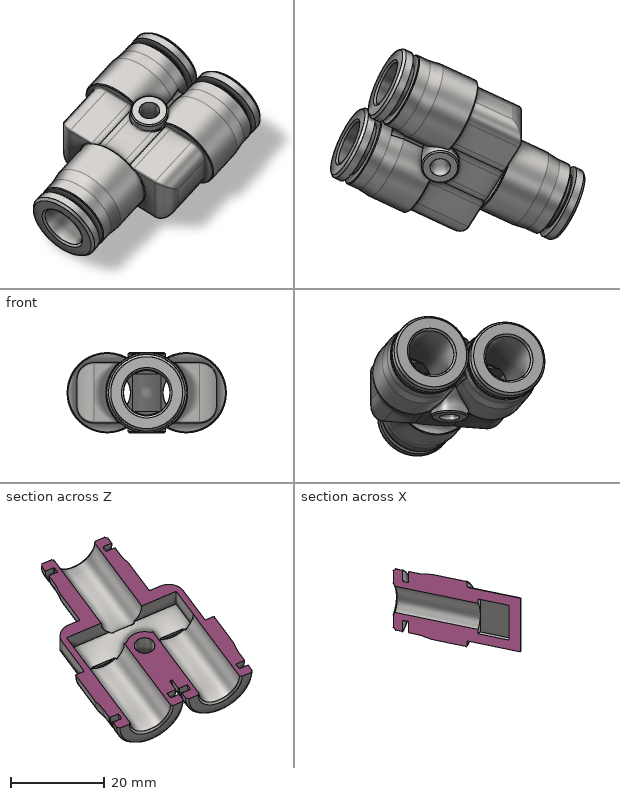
import cadquery as cq
import math


port_pitch = 16.95
port_length = 18.0
overall_length = 49.2
barrel_radius = 8.6
sleeve_radius = 8.2
neck_radius = 6.05
collar_chamfer_depth = 0.6
collar_chamfer_width = 0.5
collar_end = 2.3
sleeve_start = 3.7
taper_start = 6.5
taper_end = 9.4
edge_break = 0.2

flare_root = 0.5

bore_radius = 4.95
bore_floor_radius = 4.75
bore_mouth_chamfer = 0.45
bore_floor_chamfer = bore_radius - bore_floor_radius

body_length = overall_length - 2 * port_length
bar_width = 12.95
bar_radius = 3.6

boss_radius = 4.05
boss_height = 2 * barrel_radius
boss_chamfer = 0.3
hole_radius = 2.15

cavity_height = 7.95
cavity_back = -2.65
cavity_front = -10.1
bore_overlap = 0.5
twin_bore_floor = cavity_back - bore_overlap
front_bore_floor = cavity_front + bore_overlap

web_width = 1.95
web_valley_height = 3.1

port_offset = port_pitch / 2


def revolve_port_profile(points):
    """Solid of revolution about Y from (radius, y) points."""
    return cq.Workplane("XY").polyline(points).close().revolve(360, (0, 0, 0), (0, 1, 0))


def place_twin(shape):
    """Two copies of a shape, on the axes of the twin ports."""
    return shape.translate((-port_offset, 0, 0)).union(shape.translate((port_offset, 0, 0)))


def place_single(shape):
    """A shape turned round to the -Y end of the body."""
    return shape.rotate((0, 0, 0), (0, 0, 1), 180).translate((0, -body_length, 0))


def make_port():
    """Outside of one port, from its body face at Y = 0 to its mouth."""
    mouth = port_length
    return revolve_port_profile([
        (0, 0),
        (barrel_radius - edge_break, 0),
        (barrel_radius, edge_break),
        (barrel_radius, mouth - taper_end),
        (sleeve_radius, mouth - taper_start),
        (sleeve_radius, mouth - sleeve_start - edge_break),
        (sleeve_radius - edge_break, mouth - sleeve_start),
        (neck_radius, mouth - sleeve_start),
        (neck_radius, mouth - collar_end - edge_break),
        (neck_radius + edge_break, mouth - collar_end),
        (sleeve_radius, mouth - collar_end),
        (sleeve_radius, mouth - collar_chamfer_depth),
        (sleeve_radius - collar_chamfer_width, mouth),
        (0, mouth),
    ])


def make_bore(floor):
    """Tube bore of a port whose mouth is at Y = port_length, down to Y = floor."""
    return revolve_port_profile([
        (0, floor),
        (bore_floor_radius, floor),
        (bore_radius, floor + bore_floor_chamfer),
        (bore_radius, port_length - bore_mouth_chamfer),
        (bore_radius + bore_mouth_chamfer, port_length),
        (0, port_length),
    ])


def make_bar():
    """Rounded square bar along the body."""
    return (
        cq.Workplane("XZ")
        .rect(bar_width, bar_width)
        .extrude(body_length)
        .edges("|Y")
        .fillet(bar_radius)
    )


def make_arm(side):
    """One twin port and its bar, whose outer front corner is rounded; side is -1 or 1."""
    plan = (
        cq.Workplane("XY")
        .rect(bar_width, 2 * body_length)
        .extrude(bar_width / 2, both=True)
        .edges("|Z and <Y and " + (">X" if side > 0 else "<X"))
        .fillet(bar_radius)
    )
    bar = make_bar().intersect(plan)
    bar = bar.faces("<Y").edges("|X").fillet(edge_break)
    arm = make_port().union(bar)
    arm = arm.edges("|X").edges(">Y").fillet(edge_break)
    return arm.translate((side * port_offset, 0, 0))


def make_flare(radius):
    """Disc about Y with a concave fillet of edge_break rising from Y = 0 to the given radius."""
    flare_radius = radius + edge_break
    return (
        cq.Workplane("XY")
        .moveTo(0, -flare_root)
        .lineTo(flare_radius, -flare_root)
        .lineTo(flare_radius, 0)
        .radiusArc((radius, edge_break), edge_break)
        .lineTo(0, edge_break)
        .close()
        .revolve(360, (0, 0, 0), (0, 1, 0))
    )


def make_front_flare():
    """Fillet where the single barrel meets the flat front of the body."""
    flat_height = bar_width - 2 * edge_break
    flat = cq.Workplane("XY").box(4 * barrel_radius, 2 * flare_root, flat_height)
    return make_flare(barrel_radius).intersect(flat)


def make_boss_flare():
    """Fillet where the top of the boss meets the flat top of the body, in front of the barrels."""
    flare = make_flare(boss_radius).rotate((0, 0, 0), (1, 0, 0), 90)
    front_half = cq.Workplane("XY").box(bar_width, bar_width, bar_width)
    front_half = front_half.translate((0, -bar_width / 2, 0))
    return flare.intersect(front_half).translate((0, 0, bar_width / 2))


def make_web():
    """Web joining the twin barrels, with a rounded valley above and below."""
    length = port_length - taper_start
    web = cq.Workplane("XZ").rect(web_width, 2 * web_valley_height).extrude(-length)
    axis_distance = math.hypot(port_offset, web_valley_height)
    valley_radius = axis_distance - barrel_radius
    valley_end_radius = axis_distance - sleeve_radius
    barrel_end = port_length - taper_end
    valley = revolve_port_profile([
        (0, 0),
        (valley_radius, 0),
        (valley_radius, barrel_end),
        (valley_end_radius, length),
        (0, length),
    ])
    for z in (-web_valley_height, web_valley_height):
        web = web.cut(valley.translate((0, 0, z)))
    return web


def make_boss():
    """Screw boss through the body, chamfered at both ends."""
    return (
        cq.Workplane("XY")
        .circle(boss_radius)
        .extrude(boss_height / 2, both=True)
        .faces("<Z or >Z")
        .chamfer(boss_chamfer)
        .rotate((0, 0, 0), (0, 0, 1), 90)
    )


def make_cavity():
    """Chamber joining the three bores, with a round pillar standing in it."""
    width = port_pitch + 2 * bore_radius
    chamber = cq.Workplane("XY").box(width, cavity_back - cavity_front, cavity_height)
    chamber = chamber.translate((0, (cavity_back + cavity_front) / 2, 0))
    pillar = cq.Workplane("XY").circle(boss_radius).extrude(cavity_height / 2, both=True)
    return chamber.cut(pillar)


outside = make_bar().union(make_arm(-1)).union(make_arm(1))
outside = outside.union(place_single(make_port().union(make_front_flare())))
outside = outside.union(make_boss()).union(make_web())
outside = outside.union(make_boss_flare()).union(make_boss_flare().mirror("XY"))

result = (
    outside
    .cut(place_twin(make_bore(twin_bore_floor)))
    .cut(place_single(make_bore(-body_length - front_bore_floor)))
    .cut(make_cavity())
    .cut(cq.Workplane("XY").circle(hole_radius).extrude(boss_height / 2, both=True))
)